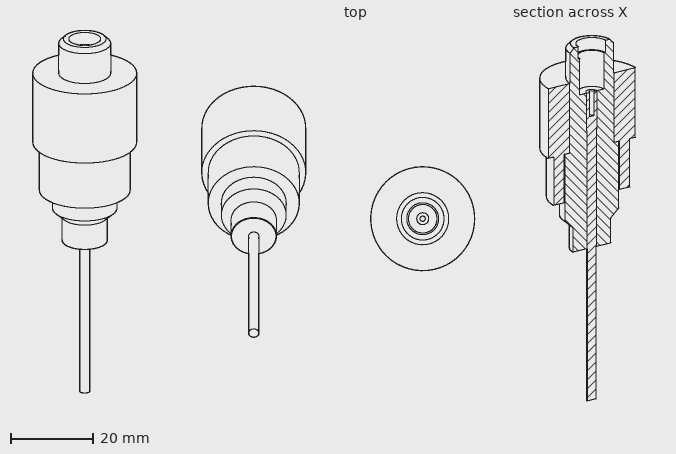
import cadquery as cq

TOTAL_HEIGHT = 93.75

NOSE_DIAMETER = 12.7
SLEEVE_HEAD_DIAMETER = 25.4
SLEEVE_SKIRT_DIAMETER = 22.225
COLLAR_DIAMETER = 15.82
COLLAR_BORE_DIAMETER = 15.88
TAIL_DIAMETER = 11.1
LEAD_DIAMETER = 2.54

NOSE_LENGTH = 9.1
SLEEVE_HEAD_LENGTH = 18.4
SLEEVE_SKIRT_LENGTH = 12.7
COLLAR_LENGTH = 4.8
TAPER_LENGTH = 2.15
TAIL_LENGTH = 6.57

NOSE_CHAMFER = 1.15
TAIL_CHAMFER = 0.13

MOUTH_DIAMETER = 7.77
MOUTH_DEPTH = 3.2
CAVITY_DIAMETER = 6.96
SOCKET_DEPTH = 12.7

CONTACT_DIAMETER = 2.92
CONTACT_LENGTH = 10.0
CONTACT_BORE_DIAMETER = 1.27
CONTACT_BORE_DEPTH = 6.35

SLEEVE_TOP = TOTAL_HEIGHT - NOSE_LENGTH
SLEEVE_STEP = SLEEVE_TOP - SLEEVE_HEAD_LENGTH
SLEEVE_BOTTOM = SLEEVE_STEP - SLEEVE_SKIRT_LENGTH
TAPER_TOP = SLEEVE_BOTTOM - COLLAR_LENGTH
TAPER_BOTTOM = TAPER_TOP - TAPER_LENGTH
TAIL_BOTTOM = TAPER_BOTTOM - TAIL_LENGTH
MOUTH_FLOOR = TOTAL_HEIGHT - MOUTH_DEPTH
SOCKET_FLOOR = TOTAL_HEIGHT - SOCKET_DEPTH
CONTACT_BOTTOM = SOCKET_FLOOR - CONTACT_LENGTH


def cylinder(diameter, bottom, top):
    """Round bar on the Z axis between two levels."""
    return cq.Workplane("XY").workplane(offset=bottom).circle(diameter / 2).extrude(top - bottom)


def taper(bottom_diameter, top_diameter, bottom, top):
    """Cone frustum on the Z axis between two levels."""
    base = cq.Workplane("XY").workplane(offset=bottom).circle(bottom_diameter / 2)
    return base.workplane(offset=top - bottom).circle(top_diameter / 2).loft(ruled=True)


def make_sleeve():
    """Stepped outer sleeve, bored for the nose and counterbored from below for the collar."""
    head = cylinder(SLEEVE_HEAD_DIAMETER, SLEEVE_STEP, SLEEVE_TOP)
    skirt = cylinder(SLEEVE_SKIRT_DIAMETER, SLEEVE_BOTTOM, SLEEVE_STEP)
    nose_bore = cylinder(NOSE_DIAMETER, SLEEVE_STEP, SLEEVE_TOP)
    collar_bore = cylinder(COLLAR_BORE_DIAMETER, SLEEVE_BOTTOM, SLEEVE_STEP)
    return head.union(skirt).cut(nose_bore).cut(collar_bore)


def make_connector_body():
    """Body with chamfered nose, collar, tapered tail and a stepped socket; the contact passes through."""
    nose = cylinder(NOSE_DIAMETER, SLEEVE_STEP, TOTAL_HEIGHT).faces(">Z").chamfer(NOSE_CHAMFER)
    collar = cylinder(COLLAR_DIAMETER, TAPER_TOP, SLEEVE_STEP)
    tail_taper = taper(TAIL_DIAMETER, COLLAR_DIAMETER, TAPER_BOTTOM, TAPER_TOP)
    tail = cylinder(TAIL_DIAMETER, TAIL_BOTTOM, TAPER_BOTTOM).faces("<Z").chamfer(TAIL_CHAMFER)
    body = nose.union(collar).union(tail_taper).union(tail)

    mouth = cylinder(MOUTH_DIAMETER, MOUTH_FLOOR, TOTAL_HEIGHT)
    cavity = cylinder(CAVITY_DIAMETER, SOCKET_FLOOR, MOUTH_FLOOR)
    contact_hole = cylinder(CONTACT_DIAMETER, CONTACT_BOTTOM, SOCKET_FLOOR)
    lead_hole = cylinder(LEAD_DIAMETER, TAIL_BOTTOM, CONTACT_BOTTOM)
    return body.cut(mouth).cut(cavity).cut(contact_hole).cut(lead_hole)


def make_contact():
    """Bored contact flush with the socket floor, with its long lead below."""
    contact = cylinder(CONTACT_DIAMETER, CONTACT_BOTTOM, SOCKET_FLOOR)
    lead = cylinder(LEAD_DIAMETER, 0, CONTACT_BOTTOM)
    bore = cylinder(CONTACT_BORE_DIAMETER, SOCKET_FLOOR - CONTACT_BORE_DEPTH, SOCKET_FLOOR)
    return contact.union(lead).cut(bore)


sleeve = make_sleeve()
connector_body = make_connector_body()
contact = make_contact()

result = cq.Compound.makeCompound([sleeve.val(), connector_body.val(), contact.val()])